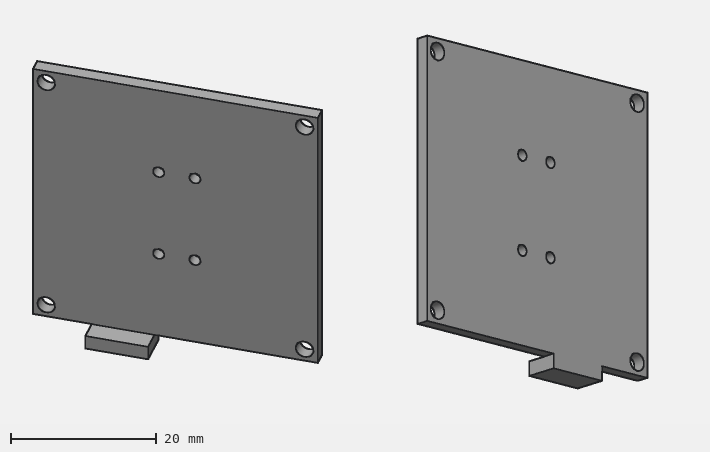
import cadquery as cq

plate_side = 40.8
plate_thickness = 2.0

corner_hole_diameter = 2.5
corner_hole_inset = 1.9

small_hole_diameter = 1.6
small_hole_spacing_x = 5.2
small_hole_spacing_z = 13.6
small_hole_offset_x = 0.2

tab_width = 9.0
tab_depth = 5.0
tab_height = 2.1
tab_left = 8.4


def make_plate():
    return cq.Workplane("XY").box(plate_side, plate_thickness, plate_side, centered=False)


def make_tab():
    tab = cq.Workplane("XY").box(tab_width, tab_depth, tab_height, centered=False)
    return tab.translate((tab_left, plate_thickness - tab_depth, -tab_height))


def hole_rectangle(diameter, spacing_x, spacing_z, center_x, center_z):
    """Four cylinders through the plate at the corners of a rectangle."""
    return (
        cq.Workplane("XZ", origin=(center_x, 0, center_z))
        .rect(spacing_x, spacing_z, forConstruction=True)
        .vertices()
        .circle(diameter / 2)
        .extrude(-plate_thickness)
    )


plate_center = plate_side / 2
corner_hole_spacing = plate_side - 2 * corner_hole_inset

corner_holes = hole_rectangle(
    corner_hole_diameter, corner_hole_spacing, corner_hole_spacing, plate_center, plate_center
)
small_holes = hole_rectangle(
    small_hole_diameter,
    small_hole_spacing_x,
    small_hole_spacing_z,
    plate_center + small_hole_offset_x,
    plate_center,
)

result = make_plate().union(make_tab()).cut(corner_holes).cut(small_holes)